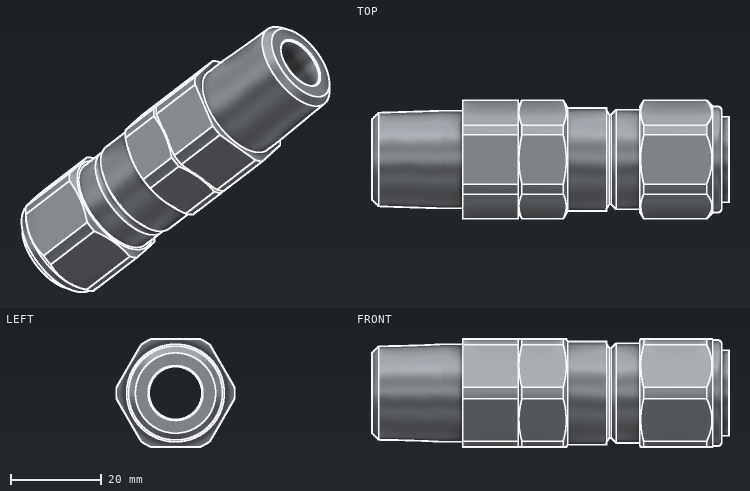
import cadquery as cq
import math

total_length = 79.25
taper_end = 15.4
body_hex_start = 20.1
union_hex_start = 32.5
union_hex_end = 43.4
sleeve_end = 52.1
nut_start = 59.4
collar_start = 75.7
collar_end = 77.7

hex_across_flats = 24.0
hex_corner_diameter = 26.4
hex_corner_radius = hex_corner_diameter / 2
hex_chamfer_angle = 30.0
nut_outlet_chamfer_angle = 45.0
union_chamfer_root_radius = 11.8
nut_chamfer_root_radius = 11.65

thread_radius = 10.85
thread_diameter_taper = 1 / 16
inlet_chamfer = 1.5

sleeve_radius = 11.5
sleeve_step_radius = 11.0
groove_radius = 10.0
groove_flat = 0.4
groove_wall_angle = 30.0
neck_radius = 11.1

collar_radius = 11.8
collar_fillet = 0.95
outlet_radius = 9.5

bore_radius = 5.9
bore_chamfer = 0.2


def revolve_about_x(profile):
    """Revolve a closed XY profile a full turn about the X axis."""
    return profile.close().revolve(360, (0, 0, 0), (1, 0, 0))


def chamfer_length(root_radius, angle):
    """Axial length of a hexagon end chamfer, its angle taken from the end face."""
    return (hex_corner_radius - root_radius) * math.tan(math.radians(angle))


def hexagon(start, end, start_chamfer=None, end_chamfer=None):
    """Hexagonal prism along X with flats facing +Z and -Z.

    Each chamfer is a (root radius, angle) pair, or None for a square end.
    """
    start_root, start_angle = start_chamfer or (hex_corner_radius, 0)
    end_root, end_angle = end_chamfer or (hex_corner_radius, 0)
    circumscribed_diameter = hex_across_flats / math.cos(math.pi / 6)
    prism = (
        cq.Workplane("YZ", origin=(start, 0, 0))
        .polygon(6, circumscribed_diameter)
        .extrude(end - start)
    )
    outline = cq.Workplane("XY").moveTo(start, 0).lineTo(start, start_root)
    if start_chamfer:
        outline = outline.lineTo(start + chamfer_length(start_root, start_angle), hex_corner_radius)
    outline = outline.lineTo(end - chamfer_length(end_root, end_angle), hex_corner_radius)
    if end_chamfer:
        outline = outline.lineTo(end, end_root)
    return prism.intersect(revolve_about_x(outline.lineTo(end, 0)))


def turned_body():
    """Round core: tapered inlet, sleeve, grooved neck, collar and outlet."""
    taper_drop = (taper_end - inlet_chamfer) * thread_diameter_taper / 2
    inlet_radius = thread_radius - taper_drop
    groove_wall_height = sleeve_step_radius - groove_radius
    groove_start = sleeve_end + groove_wall_height * math.tan(math.radians(groove_wall_angle))
    groove_end = groove_start + groove_flat
    neck_start = groove_end + neck_radius - groove_radius
    fillet_offset = collar_fillet * math.sqrt(0.5)
    fillet_middle = (
        collar_end - collar_fillet + fillet_offset,
        collar_radius - collar_fillet + fillet_offset,
    )
    profile = (
        cq.Workplane("XY")
        .moveTo(0, 0)
        .lineTo(0, inlet_radius - inlet_chamfer)
        .lineTo(inlet_chamfer, inlet_radius)
        .lineTo(taper_end, thread_radius)
        .lineTo(union_hex_start, thread_radius)
        .lineTo(union_hex_start, sleeve_radius)
        .lineTo(sleeve_end, sleeve_radius)
        .lineTo(sleeve_end, sleeve_step_radius)
        .lineTo(groove_start, groove_radius)
        .lineTo(groove_end, groove_radius)
        .lineTo(neck_start, neck_radius)
        .lineTo(collar_start, neck_radius)
        .lineTo(collar_start, collar_radius)
        .lineTo(collar_end - collar_fillet, collar_radius)
        .threePointArc(fillet_middle, (collar_end, collar_radius - collar_fillet))
        .lineTo(collar_end, outlet_radius)
        .lineTo(total_length, outlet_radius)
        .lineTo(total_length, 0)
    )
    return revolve_about_x(profile)


def bore():
    """Through bore, chamfered at the inlet face."""
    profile = (
        cq.Workplane("XY")
        .moveTo(0, 0)
        .lineTo(0, bore_radius + bore_chamfer)
        .lineTo(bore_chamfer, bore_radius)
        .lineTo(total_length, bore_radius)
        .lineTo(total_length, 0)
    )
    return revolve_about_x(profile)


body_hex = hexagon(body_hex_start, union_hex_start)
union_hex = hexagon(
    union_hex_start,
    union_hex_end,
    start_chamfer=(union_chamfer_root_radius, hex_chamfer_angle),
    end_chamfer=(sleeve_radius, hex_chamfer_angle),
)
nut_hex = hexagon(
    nut_start,
    collar_start,
    start_chamfer=(nut_chamfer_root_radius, hex_chamfer_angle),
    end_chamfer=(collar_radius, nut_outlet_chamfer_angle),
)

result = turned_body().union(body_hex).union(union_hex).union(nut_hex).cut(bore())